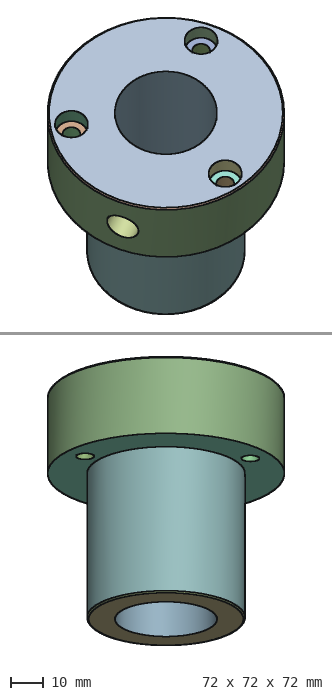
import cadquery as cq

total_height = 72.0
flange_diameter = 72.0
flange_height = 25.0
sleeve_diameter = 48.0
bore_diameter = 31.0
edge_chamfer = 0.5

screw_count = 3
screw_circle_radius = 29.0
screw_diameter = 5.5
counterbore_diameter = 10.0
counterbore_depth = 5.4

side_hole_diameter = 8.5
side_thread_diameter = 10.3
side_thread_depth = 15.0
side_hole_z = 59.25


def make_body():
    """Stepped cylinder with its two end rims chamfered."""
    sleeve_height = total_height - flange_height
    sleeve = cq.Workplane("XY").circle(sleeve_diameter / 2).extrude(sleeve_height)
    sleeve = sleeve.faces("<Z").chamfer(edge_chamfer)
    flange = cq.Workplane("XY", origin=(0, 0, sleeve_height))
    flange = flange.circle(flange_diameter / 2).extrude(flange_height)
    flange = flange.faces(">Z").chamfer(edge_chamfer)
    return sleeve.union(flange)


def cut_screw_holes(body):
    """Counterbored holes, evenly spaced with the first on +Y."""
    return (
        body.faces(">Z").workplane(origin=(0, 0, total_height))
        .polarArray(screw_circle_radius, 90, 360, screw_count)
        .cboreHole(screw_diameter, counterbore_diameter, counterbore_depth)
    )


def make_side_hole():
    """Stepped radial cutter: threaded length outside, narrower hole on to the bore axis."""
    outer_face = cq.Workplane("XZ", origin=(0, -flange_diameter / 2, side_hole_z))
    drill = outer_face.circle(side_hole_diameter / 2).extrude(-flange_diameter / 2)
    thread = outer_face.circle(side_thread_diameter / 2).extrude(-side_thread_depth)
    return drill.union(thread)


bore = cq.Workplane("XY").circle(bore_diameter / 2).extrude(total_height)
result = cut_screw_holes(make_body()).cut(bore).cut(make_side_hole())